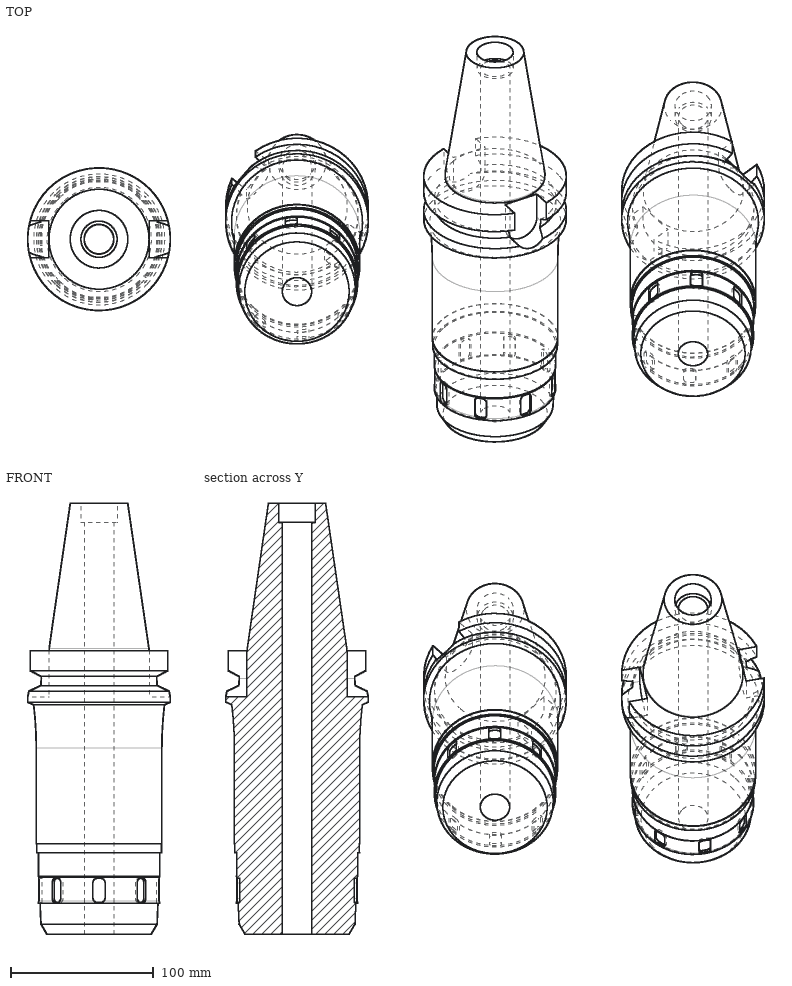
import cadquery as cq
total_height = 301.8

nose_radius = 36.5
nose_shoulder_radius = 40.7
nose_shoulder_z = 7.2
nut_lower_radius = 41.3
nut_radius = 42.5
band_depth = 0.3
band_bottom_z = 21.7
band_top_z = 40.7
band_lower_bevel = 1.8
band_upper_bevel = 1.0
band_radius = nut_radius - band_depth

slot_count = 8
slot_width = 8.5
slot_bottom_z = 22.3
slot_top_z = 39.2
slot_corner_radius = 3.0
slot_floor_radius = 40.0

nut_top_z = 57.0
collar_top_z = 63.5
collar_radius = 43.8
body_radius = 44.0
body_top_z = 130.7

flare_top_z = 160.5
flare_top_radius = 46.0

flange_diameter = 100.0
flange_radius = flange_diameter / 2
flange_bottom_z = 162.5
flange_top_z = 198.5
groove_radius = 42.5
groove_bottom_z = 170.2
groove_floor_bottom_z = 174.0
groove_floor_top_z = 180.5
groove_top_z = 184.5

key_count = 2
key_width = 26.0
key_bottom_z = 166.3
key_wall_x = 35.3

taper_ratio = 7 / 24
gauge_radius = 35.0
gauge_z = 200.0
shank_end_radius = gauge_radius - (total_height - gauge_z) * taper_ratio / 2

bore_radius = 10.3
mouth_radius = 12.7
mouth_depth = 13.5


def make_body():
    """Revolve the outer profile around the Z axis."""
    profile = (
        cq.Workplane("XZ")
        .moveTo(0, 0)
        .lineTo(nose_radius, 0)
        .lineTo(nose_shoulder_radius, nose_shoulder_z)
        .lineTo(nut_lower_radius, band_bottom_z)
        .lineTo(nut_radius, band_bottom_z)
        .lineTo(band_radius, band_bottom_z + band_lower_bevel)
        .lineTo(band_radius, band_top_z - band_upper_bevel)
        .lineTo(nut_radius, band_top_z)
        .lineTo(nut_radius, nut_top_z)
        .lineTo(collar_radius, nut_top_z)
        .lineTo(collar_radius, collar_top_z)
        .lineTo(body_radius, collar_top_z)
        .lineTo(body_radius, body_top_z)
        .tangentArcPoint((flare_top_radius, flare_top_z), relative=False)
        .lineTo(flange_radius, flange_bottom_z)
        .lineTo(flange_radius, groove_bottom_z)
        .lineTo(groove_radius, groove_floor_bottom_z)
        .lineTo(groove_radius, groove_floor_top_z)
        .lineTo(flange_radius, groove_top_z)
        .lineTo(flange_radius, flange_top_z)
        .lineTo(gauge_radius, flange_top_z)
        .lineTo(gauge_radius, gauge_z)
        .lineTo(shank_end_radius, total_height)
        .lineTo(0, total_height)
        .close()
    )
    return profile.revolve(360, (0, 0, 0), (0, 1, 0))


def make_bore():
    """Through bore with its wider mouth at the top."""
    bore = cq.Workplane("XY").circle(bore_radius).extrude(total_height)
    mouth = (
        cq.Workplane("XY", origin=(0, 0, total_height - mouth_depth))
        .circle(mouth_radius)
        .extrude(mouth_depth)
    )
    return bore.union(mouth)


def make_key_slot():
    """Round-bottomed key slot on the +X side, open at the flange top."""
    half_width = key_width / 2
    slot_length = flange_radius - key_wall_x
    return (
        cq.Workplane("YZ", origin=(key_wall_x, 0, 0))
        .moveTo(-half_width, flange_top_z)
        .lineTo(-half_width, key_bottom_z + half_width)
        .threePointArc((0, key_bottom_z), (half_width, key_bottom_z + half_width))
        .lineTo(half_width, flange_top_z)
        .close()
        .extrude(slot_length)
    )


def make_wrench_slot():
    """Flat-floored wrench slot with rounded corners on the +X side."""
    slot_height = slot_top_z - slot_bottom_z
    slot_depth = nut_radius - slot_floor_radius
    return (
        cq.Workplane("YZ", origin=(slot_floor_radius, 0, (slot_bottom_z + slot_top_z) / 2))
        .rect(slot_width, slot_height)
        .extrude(slot_depth)
        .edges("|X")
        .fillet(slot_corner_radius)
    )


def turned(shape, index, count):
    """Turn a shape to its place in a ring of equally spaced copies."""
    return shape.rotate((0, 0, 0), (0, 0, 1), 360 * index / count)


result = make_body().cut(make_bore())

for side in range(key_count):
    result = result.cut(turned(make_key_slot(), side, key_count))

for position in range(slot_count):
    result = result.cut(turned(make_wrench_slot(), position, slot_count))